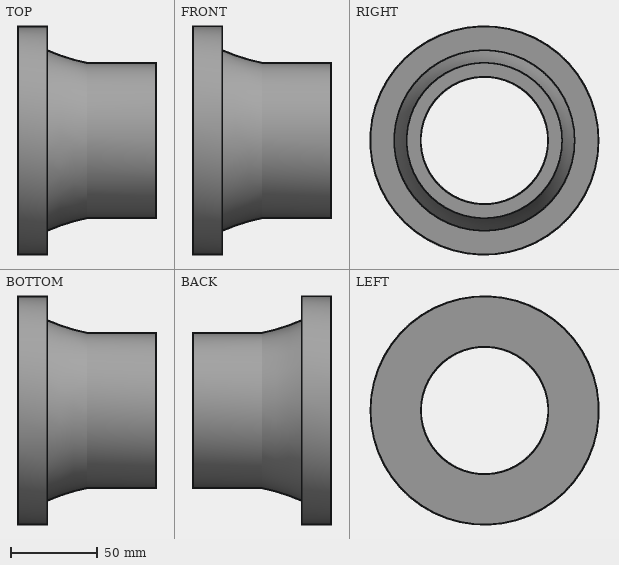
import cadquery as cq

total_length = 80.0
flange_diameter = 132.4
flange_thickness = 17.1
neck_base_diameter = 104.6
neck_end = 40.1
pipe_diameter = 90.0
bore_diameter = 73.6
neck_sag = 0.7

flange_radius = flange_diameter / 2
neck_base_radius = neck_base_diameter / 2
pipe_radius = pipe_diameter / 2
bore_radius = bore_diameter / 2
neck_middle = (
    (flange_thickness + neck_end) / 2,
    (neck_base_radius + pipe_radius) / 2 - neck_sag,
)

section = (
    cq.Workplane("XY")
    .moveTo(0, bore_radius)
    .lineTo(0, flange_radius)
    .lineTo(flange_thickness, flange_radius)
    .lineTo(flange_thickness, neck_base_radius)
    .threePointArc(neck_middle, (neck_end, pipe_radius))
    .lineTo(total_length, pipe_radius)
    .lineTo(total_length, bore_radius)
    .close()
)

result = section.revolve(360, (0, 0, 0), (1, 0, 0))